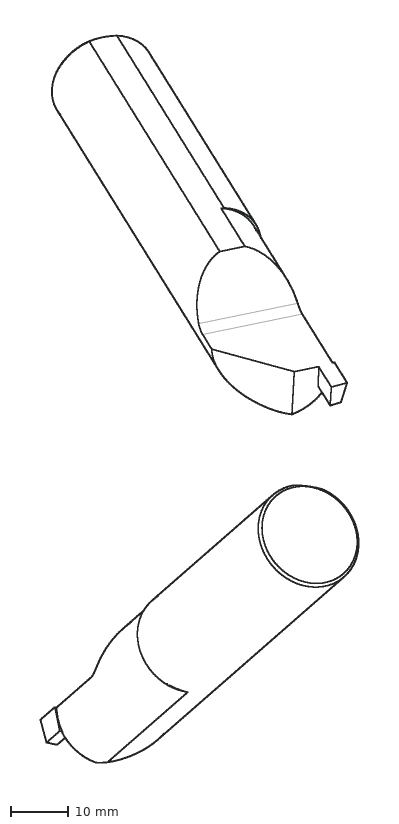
import cadquery as cq
import math

total_length = 101.6
shank_diameter = 19.0
shank_radius = shank_diameter / 2
end_chamfer = 0.5
flat_depth = 0.36

relief_start = 56.2
relief_depth = 0.5

head_end = 95.0
floor_height = 0.0
floor_corner_x = 77.6
runout_angle = 45.0
runout_radius = 3.0
end_face_angle = 2.0
nose_cut_start = 83.7
nose_cut_angle = 45.0

tooth_outer_y = 9.3
tooth_width = 3.0
tooth_height = 4.4
tooth_root_x = 94.6
tooth_face_setback = 0.6
tooth_edge_skew = 0.3
tooth_side_setback = 0.9

margin = 5.1


def make_bar():
    bar = cq.Workplane("YZ").circle(shank_radius).extrude(head_end)
    bar = bar.faces("<X").chamfer(end_chamfer)
    flat_cutter = cq.Workplane("XY").box(
        head_end, shank_diameter, shank_diameter, centered=(False, True, False)
    )
    return bar.cut(flat_cutter.translate((0, 0, shank_radius - flat_depth)))


def side_relief():
    """Material on the +Y half outside a cylinder offset toward -Y."""
    relief_length = head_end - relief_start
    half_space = cq.Workplane("XY").box(
        relief_length, shank_diameter, 2 * shank_diameter, centered=(False, False, True)
    )
    kept_core = (
        cq.Workplane("YZ").center(-relief_depth, 0).circle(shank_radius).extrude(relief_length)
    )
    return half_space.cut(kept_core).translate((relief_start, 0, 0))


def upper_clearance():
    """Space above the head floor, including the rounded run-out slope."""
    top = shank_radius + margin
    slope_run = (top - floor_height) / math.tan(math.radians(runout_angle))
    clearance = (
        cq.Workplane("XZ")
        .moveTo(floor_corner_x, floor_height)
        .lineTo(total_length + margin, floor_height)
        .lineTo(total_length + margin, top)
        .lineTo(floor_corner_x - slope_run, top)
        .close()
        .extrude(shank_radius + margin, both=True)
    )
    corner = cq.selectors.NearestToPointSelector((floor_corner_x, 0, floor_height))
    return clearance.edges("|Y").edges(corner).fillet(runout_radius)


def nose_clearance():
    """Triangular prism that bevels the -Y side of the head."""
    cut_length = head_end + margin - nose_cut_start
    cut_width = cut_length * math.tan(math.radians(nose_cut_angle))
    return (
        cq.Workplane("XY")
        .moveTo(nose_cut_start, -shank_radius)
        .lineTo(nose_cut_start + cut_length, -shank_radius)
        .lineTo(nose_cut_start + cut_length, cut_width - shank_radius)
        .close()
        .extrude(shank_radius + margin, both=True)
    )


def end_clearance():
    """Wedge that leans the end face back toward the underside."""
    bottom = -shank_radius
    setback = (floor_height - bottom) * math.tan(math.radians(end_face_angle))
    return (
        cq.Workplane("XZ")
        .moveTo(head_end, floor_height)
        .lineTo(head_end - setback, bottom)
        .lineTo(head_end, bottom)
        .close()
        .extrude(shank_radius + margin, both=True)
    )


def tooth_section(top_y, bottom_y, tip_x):
    """Closed section running from top_y to bottom_y, reaching tip_x at its top edge."""
    bottom = floor_height - tooth_height
    corners = [
        (tooth_root_x, top_y, floor_height),
        (tip_x, top_y, floor_height),
        (tip_x - tooth_face_setback, bottom_y, bottom),
        (tooth_root_x, bottom_y, bottom),
    ]
    return cq.Wire.makePolygon([cq.Vector(*corner) for corner in corners], close=True)


def make_tooth():
    """Tooth with a leaning front and outer faces and a slightly skewed cutting edge."""
    inner_y = tooth_outer_y - tooth_width
    outer_section = tooth_section(
        tooth_outer_y, tooth_outer_y - tooth_side_setback, total_length - tooth_edge_skew
    )
    inner_section = tooth_section(inner_y, inner_y, total_length)
    return cq.Workplane(cq.Solid.makeLoft([outer_section, inner_section], True))


head = make_bar().cut(side_relief()).cut(upper_clearance())
head = head.cut(nose_clearance()).cut(end_clearance())
result = head.union(make_tooth())